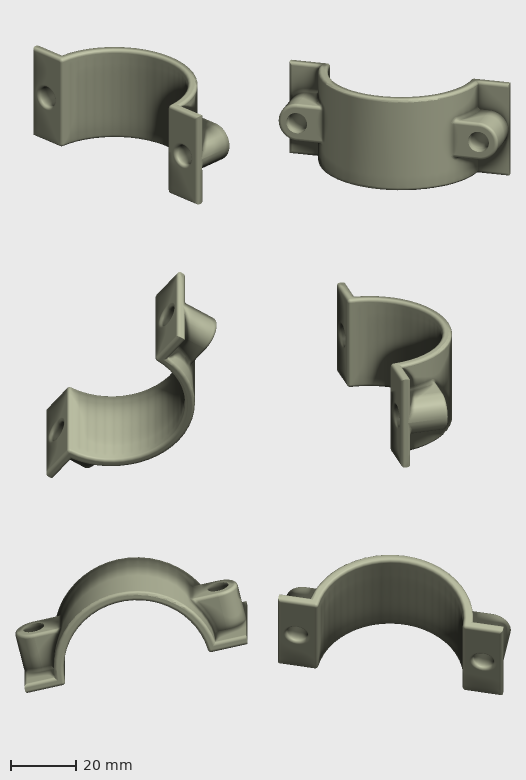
import cadquery as cq
import math

length = 70.0
height = 30.0
wall = 3.0
bore_radius = 22.5
boss_radius = 6.0
boss_top = 15.0
hole_diameter = 6.6
edge_radius = 1.0

half_length = length / 2
outer_radius = bore_radius + wall
mid_radius = bore_radius + wall / 2
boss_x = half_length - boss_radius
shoulder_x = math.sqrt(outer_radius**2 - wall**2)

LEFT = -1
RIGHT = 1
TOLERANCE = 0.01


def make_sharp_strap():
    """Half ring with a flat flange on each side, all edges sharp."""
    return (
        cq.Workplane("XY")
        .moveTo(-half_length, 0)
        .lineTo(-bore_radius, 0)
        .threePointArc((0, bore_radius), (bore_radius, 0))
        .lineTo(half_length, 0)
        .lineTo(half_length, wall)
        .lineTo(shoulder_x, wall)
        .threePointArc((0, outer_radius), (-shoulder_x, wall))
        .lineTo(-half_length, wall)
        .close()
        .extrude(height / 2, both=True)
    )


def is_flange_end(edge):
    return abs(edge.Center().x) > half_length - TOLERANCE


def round_strap(strap):
    """Round the strap's edges so that rim and flange-end rounds meet in a mitre.

    The left flange keeps a sharp end edge on the boss side.
    """
    rims = [edge for edge in strap.faces("|Z").edges().vals() if not is_flange_end(edge)]
    mating_edges = strap.faces("<Y").edges("|Z").vals()
    inner_corners = [edge for edge in mating_edges if not is_flange_end(edge)]
    flange_ends = [edge for edge in mating_edges if is_flange_end(edge)]
    right_back_end = strap.faces(">X").edges("|Z").edges(">Y").vals()

    rounded_rims = strap.newObject(rims + inner_corners).fillet(edge_radius)
    rounded_ends = strap.newObject(flange_ends + right_back_end).fillet(edge_radius)
    return rounded_rims.intersect(rounded_ends)


def make_boss(side):
    """Screw boss on a flange: half round outside, running straight into the ring wall."""
    root_x = side * math.sqrt(mid_radius**2 - boss_top**2)
    root_y = wall / 2
    boss = (
        cq.Workplane("XZ", origin=(0, root_y, 0))
        .moveTo(root_x, boss_radius)
        .lineTo(side * boss_x, boss_radius)
        .threePointArc((side * half_length, 0), (side * boss_x, -boss_radius))
        .lineTo(root_x, -boss_radius)
        .close()
        .extrude(root_y - boss_top)
    )
    ring_core = cq.Workplane("XY").circle(mid_radius).extrude(height / 2, both=True)
    return boss.cut(ring_core)


def is_blended_boss_edge(edge):
    """True for boss top edges, boss-to-ring edges and the foot of the right boss."""
    box = edge.BoundingBox()
    outside_boss = max(-box.zmin, box.zmax) > boss_radius + TOLERANCE
    if outside_boss or box.ymin < wall - TOLERANCE:
        return False
    if box.ymax < wall + TOLERANCE:
        return edge.Center().x > 0
    at_top = box.ymin > boss_top - TOLERANCE
    runs_along_ring = edge.geomType() == "CIRCLE" and box.zlen < TOLERANCE
    return at_top or runs_along_ring


def blend_bosses(body):
    """Round the boss tops and blend the bosses into the strap."""
    edges = [edge for edge in body.edges().vals() if is_blended_boss_edge(edge)]
    return body.newObject(edges).fillet(edge_radius)


def make_hole_cutter(side):
    """Through hole along a boss, with a rounded mouth on the mating face."""
    radius = hole_diameter / 2
    mouth_radius = radius + edge_radius
    arc_inset = edge_radius * (1 - math.sqrt(0.5))
    return (
        cq.Workplane("XY")
        .lineTo(mouth_radius, 0)
        .threePointArc((radius + arc_inset, arc_inset), (radius, edge_radius))
        .lineTo(radius, boss_top)
        .lineTo(0, boss_top)
        .close()
        .revolve(360, (0, 0, 0), (0, 1, 0))
        .translate((side * boss_x, 0, 0))
    )


clamp = round_strap(make_sharp_strap())
for side in (LEFT, RIGHT):
    clamp = clamp.union(make_boss(side))
clamp = blend_bosses(clamp)
for side in (LEFT, RIGHT):
    clamp = clamp.cut(make_hole_cutter(side))

result = clamp